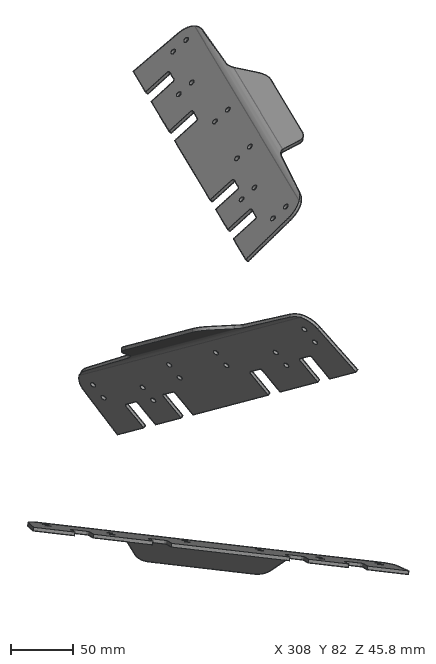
import cadquery as cq
import math

thickness = 3.0
leg_slope = 40.0
tab_slope = 5.0
bend_radius = 13.0
leg_length = 63.0
tab_length = 24.3

bend_angle = leg_slope + tab_slope
bend_length = bend_radius * math.radians(bend_angle)
tab_start = leg_length + bend_length
sheet_length = tab_start + tab_length

front_half_width = 154.0
shoulder_outer = (150.0, 66.2)
shoulder_inner = (69.3, 70.0)
tab_half_width = 51.5
shoulder_radius = 20.0
neck_radius = 10.0
tab_corner_radius = 15.0

slot_centers = (-112.5, -48.5, 64.0, 112.5)
slot_width = 15.5
slot_depth = 25.5
slot_corner_radius = 1.5

hole_diameter = 4.5
hole_row_pitch = 14.2
first_hole_row = 22.8
high_pairs = (-136.5, -22.2, 38.2, 136.5)
low_pairs = (-86.0, 86.0)

cut_margin = 3.0
wrap_samples = 16

leg_angle = math.radians(leg_slope)
tab_angle = math.radians(tab_slope)
bend_front_y = leg_length * math.cos(leg_angle)
bend_front_z = leg_length * math.sin(leg_angle)
axis_y = bend_front_y + bend_radius * math.sin(leg_angle)
axis_z = bend_front_z - bend_radius * math.cos(leg_angle)


def sheet_plane(y, z, slope):
    """Plane through (0, y, z), rising towards +Y at the given slope in degrees."""
    angle = math.radians(slope)
    return cq.Plane(origin=(0, y, z), xDir=(1, 0, 0), normal=(0, -math.sin(angle), math.cos(angle)))


def flat_blank():
    """Flat pattern without slots and holes, its outer skin on XY."""
    half = [
        (front_half_width, 0),
        shoulder_outer,
        shoulder_inner,
        (tab_half_width, sheet_length),
    ]
    mirrored = [(-x, s) for x, s in reversed(half)]
    blank = cq.Workplane("XY").polyline(half + mirrored).close().extrude(-thickness)
    for (x, s), radius in (
        (shoulder_outer, shoulder_radius),
        (shoulder_inner, neck_radius),
        ((tab_half_width, sheet_length), tab_corner_radius),
    ):
        for side in (-1, 1):
            corner = cq.selectors.NearestToPointSelector((side * x, s, -thickness / 2))
            blank = blank.edges("|Z").edges(corner).fillet(radius)
    return blank


def strip(blank, start, end):
    """Part of the flat pattern between two distances from the front edge."""
    box = cq.Workplane("XY").box(
        2 * front_half_width + cut_margin, end - start, 3 * thickness
    )
    return blank.intersect(box.translate((0, (start + end) / 2, 0)))


def leg(blank):
    """Sloping leg with its slots and holes."""
    body = strip(blank, 0, leg_length)
    slot_length = slot_depth + cut_margin
    slots = (
        cq.Workplane("XY")
        .pushPoints([(x, slot_depth - slot_length / 2) for x in slot_centers])
        .rect(slot_width, slot_length)
        .extrude(2 * thickness, both=True)
        .edges("|Z and >Y")
        .fillet(slot_corner_radius)
    )
    low_holes = [(x, first_hole_row + i * hole_row_pitch) for x in low_pairs for i in (0, 1)]
    high_holes = [(x, first_hole_row + i * hole_row_pitch) for x in high_pairs for i in (1, 2)]
    holes = (
        cq.Workplane("XY")
        .pushPoints(low_holes + high_holes)
        .circle(hole_diameter / 2)
        .extrude(2 * thickness, both=True)
    )
    return sheet_plane(0, 0, leg_slope), body.cut(slots).cut(holes)


def wrapped_wire(outline, distance):
    """Flat outline projected radially onto a plane at this distance from the bend axis."""
    plane = sheet_plane(axis_y, axis_z, (leg_slope - tab_slope) / 2)
    edges = []
    for edge in outline.Edges():
        points = []
        for i in range(wrap_samples + 1):
            flat = edge.positionAt(i / wrap_samples)
            turn = (flat.y - leg_length - bend_length / 2) / bend_radius
            points.append(plane.toWorldCoords((flat.x, distance * math.tan(turn), distance)))
        edges.append(cq.Edge.makeSpline(points))
    return cq.Wire.assembleEdges(edges)


def bend(blank):
    """Bent strip whose end walls follow the flat outline and stay square to the skin."""
    outline = strip(blank, leg_length, tab_start).faces(">Z").val().outerWire()
    wedge = cq.Solid.makeLoft(
        [wrapped_wire(outline, bend_radius / 2), wrapped_wire(outline, 2 * bend_radius)], True
    )
    ring = (
        cq.Workplane("YZ")
        .center(axis_y, axis_z)
        .circle(bend_radius)
        .circle(bend_radius - thickness)
        .extrude(front_half_width, both=True)
    )
    return ring.intersect(cq.Workplane(wedge))


def tab(blank):
    """Rear tab, falling gently away from the bend."""
    body = strip(blank, tab_start, sheet_length).translate((0, -tab_start, 0))
    start_y = axis_y + bend_radius * math.sin(tab_angle)
    start_z = axis_z + bend_radius * math.cos(tab_angle)
    return sheet_plane(start_y, start_z, -tab_slope), body


def placed(plane, body):
    """Body moved from the flat XY plane onto its sheet plane."""
    return cq.Workplane(body.val().moved(cq.Location(plane)))


blank = flat_blank()
result = placed(*leg(blank)).union(bend(blank)).union(placed(*tab(blank)))